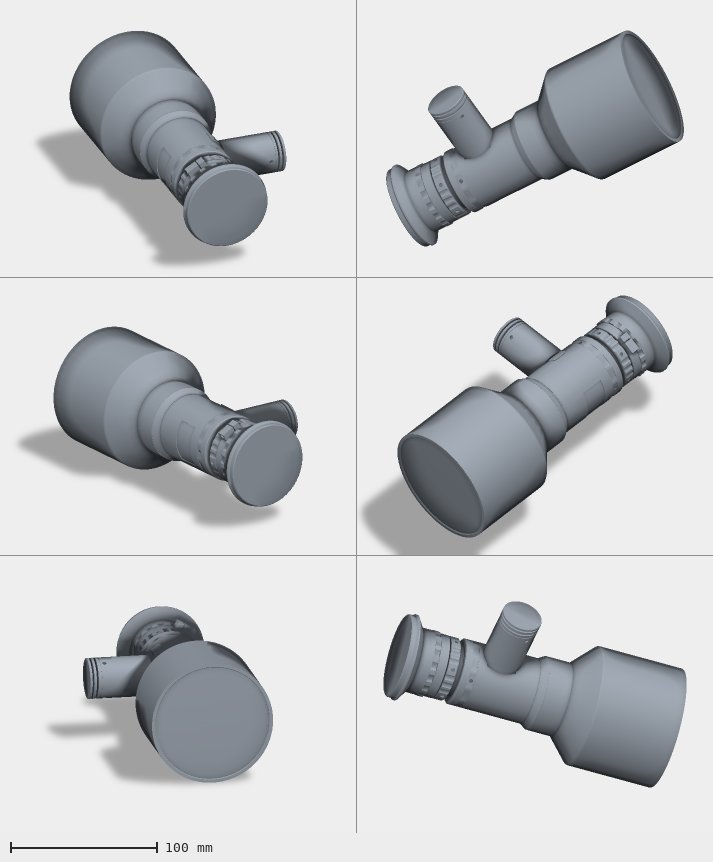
import cadquery as cq
import math


MARGIN = 2.0

HOOD_DIAMETER = 84.0
HOOD_RADIUS = HOOD_DIAMETER / 2
HOOD_END = 60.0
HOOD_CORNER_ROUND = 2.0
LENS_RADIUS = 39.4
LENS_BEVEL = 0.4
LENS_EDGE_DEPTH = 1.0
LENS_APEX_DEPTH = 0.2

SHOULDER_RADIUS = 26.0
SHOULDER_START = HOOD_END + HOOD_RADIUS - SHOULDER_RADIUS
SHOULDER_END = 94.0
TAPER_END = 98.8
BARREL_RADIUS = 23.0
JOINT_GROOVE_WIDTH = 0.5
JOINT_GROOVE_DEPTH = 0.2
PORT_END = 136.8
FLATS_START = 142.8
FLATS_END = 147.3
BARREL_END = 152.4
BARREL_CHAMFER = 0.5

NECK_RADIUS = 18.0
REAR_NECK_RADIUS = 18.8
GRIP_START = 156.0
GRIP_END = 162.8
GRIP_RADIUS = 22.1
GRIP_CHAMFER = 0.5
CLAMP_START = 164.0
CLAMP_END = 170.2
CLAMP_RADIUS = 22.1
TEETH_START = 170.5
TEETH_END = 174.5
TEETH_RADIUS = BARREL_RADIUS
TUBE_RADIUS = 22.7
TUBE_END = 183.0

FLANGE_RADIUS = 30.3
FLANGE_START = 188.3
FLANGE_END = 189.2
MOUNT_RADIUS = 29.1
MOUNT_START = FLANGE_END + FLANGE_RADIUS - MOUNT_RADIUS
MOUNT_CHAMFER = 0.5
TOTAL_LENGTH = 194.0

SCREW_RADIUS = 1.4
SCREW_DEPTH = 1.5

FLAT_COUNT = 12
FLAT_DISTANCE = 22.5
FLAT_SCREW_X = 145.0
FLAT_SCREW_COUNT = 3

GRIP_PLACES = 24
GRIP_PLACES_PER_SCREW = 4
GRIP_SCREW_ANGLE = -10
GRIP_SCREW_X = 159.1
GRIP_SCALLOP_ARC = 10.5
GRIP_SCALLOP_RADIUS = 3.1
TEETH_COUNT = 16
TEETH_SCALLOP_ANGLE = 7
TEETH_SCALLOP_ARC = 14
TEETH_SCALLOP_RADIUS = 4.3

LUG_ANGLE = 60
LUG_DISTANCE = 26.5
LUG_LOWER_SIDE = 8.0
LUG_UPPER_SIDE = 6.0
SLIT_OFFSET = 1.2
SLIT_WIDTH = 0.8
CLAMP_SCREW_DISTANCE = 24.5

LABEL_START = 118.2
LABEL_LENGTH = 16.7
LABEL_HEIGHT = 28.0
LABEL_DEPTH = 0.5

PORT_X = 126.3
SEAT_Y = 20.0
SEAT_START = 115.9
PAD_LENGTH = 11.8
PAD_INNER_Y = 11.6
PAD_OUTER_Y = 17.5
PAD_RADIUS = 23.9
PAD_ROUND = 2.3

SOURCE_RADIUS = 14.0
TOTAL_WIDTH = 105.0
SOURCE_END = TOTAL_WIDTH - HOOD_RADIUS
FIN_CORE_RADIUS = 8.7
FIN_THICKNESS = 1.5
FIN_GAP = 1.4
FIN_COUNT = 2
FIN_CHAMFER = 0.4
CAP_GROOVE_Y = 54.7
CAP_GROOVE_WIDTH = 0.8
CAP_GROOVE_DEPTH = 0.4
SOURCE_SCREW_Y = 52.0
SOURCE_SCREW_COUNT = 3


def x_cylinder(start, end, radius):
    return cq.Workplane("YZ", origin=(start, 0, 0)).circle(radius).extrude(end - start)


def tube_ring(start, end, outer_radius, inner_radius):
    return x_cylinder(start, end, outer_radius).cut(x_cylinder(start, end, inner_radius))


def turn(shape, angle):
    """Carry a shape made at the -Y side around the lens axis towards +Z."""
    return shape.rotate((0, 0, 0), (1, 0, 0), -angle)


def radial_hole(x, surface_radius):
    """Cutter for a set screw hole at the -Y side, reaching slightly beyond the surface."""
    outer_y = -surface_radius - SCREW_DEPTH
    return (cq.Workplane("XZ", origin=(x, outer_y, 0))
            .circle(SCREW_RADIUS).extrude(-2 * SCREW_DEPTH))


def scallop(start, end, ring_radius, arc, radius):
    """Cutter for a hollow along X whose edges lie the given arc apart on the ring."""
    half_angle = math.radians(arc / 2)
    half_width = ring_radius * math.sin(half_angle)
    centre = ring_radius * math.cos(half_angle) + math.sqrt(radius**2 - half_width**2)
    return x_cylinder(start, end, radius).translate((0, -centre, 0))


def make_turned_body():
    """Everything that is round about the lens axis, as one turned profile."""
    rear_step = (GRIP_END + CLAMP_START) / 2
    profile = (
        cq.Workplane("XY")
        .moveTo(LENS_APEX_DEPTH, 0)
        .threePointArc(
            (LENS_APEX_DEPTH + (LENS_EDGE_DEPTH - LENS_APEX_DEPTH) / 4, LENS_RADIUS / 2),
            (LENS_EDGE_DEPTH, LENS_RADIUS))
        .lineTo(LENS_BEVEL, LENS_RADIUS)
        .lineTo(0, LENS_RADIUS + LENS_BEVEL)
        .lineTo(0, HOOD_RADIUS)
        .lineTo(HOOD_END, HOOD_RADIUS)
        .lineTo(SHOULDER_START, SHOULDER_RADIUS)
        .lineTo(SHOULDER_END, SHOULDER_RADIUS)
        .lineTo(TAPER_END, BARREL_RADIUS)
        .lineTo(BARREL_END - BARREL_CHAMFER, BARREL_RADIUS)
        .lineTo(BARREL_END, BARREL_RADIUS - BARREL_CHAMFER)
        .lineTo(BARREL_END, NECK_RADIUS)
        .lineTo(GRIP_START, NECK_RADIUS)
        .lineTo(GRIP_START, GRIP_RADIUS - GRIP_CHAMFER)
        .lineTo(GRIP_START + GRIP_CHAMFER, GRIP_RADIUS)
        .lineTo(GRIP_END, GRIP_RADIUS)
        .lineTo(GRIP_END, NECK_RADIUS)
        .lineTo(rear_step, NECK_RADIUS)
        .lineTo(rear_step, REAR_NECK_RADIUS)
        .lineTo(CLAMP_START, REAR_NECK_RADIUS)
        .lineTo(CLAMP_START, CLAMP_RADIUS)
        .lineTo(CLAMP_END, CLAMP_RADIUS)
        .lineTo(CLAMP_END, REAR_NECK_RADIUS)
        .lineTo(TEETH_START, REAR_NECK_RADIUS)
        .lineTo(TEETH_START, TEETH_RADIUS)
        .lineTo(TEETH_END, TEETH_RADIUS)
        .lineTo(TEETH_END, TUBE_RADIUS)
        .lineTo(TUBE_END, TUBE_RADIUS)
        .lineTo(FLANGE_START, FLANGE_RADIUS)
        .lineTo(FLANGE_END, FLANGE_RADIUS)
        .lineTo(MOUNT_START, MOUNT_RADIUS)
        .lineTo(TOTAL_LENGTH - MOUNT_CHAMFER, MOUNT_RADIUS)
        .lineTo(TOTAL_LENGTH, MOUNT_RADIUS - MOUNT_CHAMFER)
        .lineTo(TOTAL_LENGTH, 0)
        .close()
    )
    body = profile.revolve(360, (0, 0, 0), (1, 0, 0))
    hood_edge = cq.selectors.BoxSelector(
        (HOOD_END - MARGIN, -HOOD_RADIUS - MARGIN, -HOOD_RADIUS - MARGIN),
        (HOOD_END + MARGIN, HOOD_RADIUS + MARGIN, HOOD_RADIUS + MARGIN), boundingbox=True)
    return body.edges(hood_edge).fillet(HOOD_CORNER_ROUND)


def cut_joint_grooves(body):
    """Fine grooves where the turned sections join."""
    joints = [
        (SHOULDER_START, SHOULDER_RADIUS),
        (SHOULDER_END - JOINT_GROOVE_WIDTH, SHOULDER_RADIUS),
        (TAPER_END, BARREL_RADIUS),
        (FLATS_START - JOINT_GROOVE_WIDTH, BARREL_RADIUS),
    ]
    for start, radius in joints:
        end = start + JOINT_GROOVE_WIDTH
        body = body.cut(tube_ring(start, end, radius + MARGIN, radius - JOINT_GROOVE_DEPTH))
    return body


def cut_flats_ring(body):
    """Twelve flats around the barrel, three of them with a set screw hole."""
    corner_diameter = 2 * FLAT_DISTANCE / math.cos(math.pi / FLAT_COUNT)
    prism = (cq.Workplane("YZ", origin=(FLATS_START, 0, 0))
             .polygon(FLAT_COUNT, corner_diameter).extrude(FLATS_END - FLATS_START))
    prism = turn(prism, 180 / FLAT_COUNT)
    body = body.cut(x_cylinder(FLATS_START, FLATS_END, BARREL_RADIUS + MARGIN).cut(prism))
    for i in range(FLAT_SCREW_COUNT):
        body = body.cut(turn(radial_hole(FLAT_SCREW_X, FLAT_DISTANCE), i * 360 / FLAT_SCREW_COUNT))
    return body


def cut_grip_ring(body):
    hollow = scallop(GRIP_START, GRIP_END, GRIP_RADIUS, GRIP_SCALLOP_ARC, GRIP_SCALLOP_RADIUS)
    hole = radial_hole(GRIP_SCREW_X, GRIP_RADIUS)
    for i in range(GRIP_PLACES):
        cutter = hole if i % GRIP_PLACES_PER_SCREW == 0 else hollow
        body = body.cut(turn(cutter, GRIP_SCREW_ANGLE + i * 360 / GRIP_PLACES))
    return body


def cut_toothed_ring(body):
    hollow = scallop(TEETH_START, TEETH_END, TEETH_RADIUS, TEETH_SCALLOP_ARC, TEETH_SCALLOP_RADIUS)
    for i in range(TEETH_COUNT):
        body = body.cut(turn(hollow, TEETH_SCALLOP_ANGLE + i * 360 / TEETH_COUNT))
    return body


def add_clamp_lug(body):
    """Slit lug on the clamp ring, with a screw hole across the slit."""
    length = CLAMP_END - CLAMP_START
    middle_x = (CLAMP_START + CLAMP_END) / 2
    lug_height = LUG_DISTANCE - REAR_NECK_RADIUS
    lug = cq.Workplane("XY").box(
        length, lug_height, LUG_LOWER_SIDE + LUG_UPPER_SIDE, centered=(True, False, False)
    ).translate((middle_x, -LUG_DISTANCE, -LUG_LOWER_SIDE))
    slit = cq.Workplane("XY").box(
        length, lug_height, SLIT_WIDTH, centered=(True, False, True)
    ).translate((middle_x, -LUG_DISTANCE, SLIT_OFFSET))
    hole = (cq.Workplane("XY", origin=(middle_x, -CLAMP_SCREW_DISTANCE, -LUG_LOWER_SIDE))
            .circle(SCREW_RADIUS).extrude(LUG_LOWER_SIDE + LUG_UPPER_SIDE))
    return body.union(turn(lug, LUG_ANGLE)).cut(turn(slit.union(hole), LUG_ANGLE))


def cut_label_recess(body):
    """Shallow recess that follows the round barrel, with its sides pointing at the axis."""
    half_angle = math.asin(LABEL_HEIGHT / 2 / BARREL_RADIUS)
    reach = 2 * BARREL_RADIUS
    wedge = (cq.Workplane("YZ", origin=(LABEL_START, 0, 0))
             .moveTo(0, 0)
             .lineTo(-reach * math.cos(half_angle), reach * math.sin(half_angle))
             .lineTo(-reach * math.cos(half_angle), -reach * math.sin(half_angle))
             .close().extrude(LABEL_LENGTH))
    skin = tube_ring(LABEL_START, LABEL_START + LABEL_LENGTH, BARREL_RADIUS, BARREL_RADIUS - LABEL_DEPTH)
    return body.cut(wedge.intersect(skin))


def cut_source_seat(body):
    seat = cq.Workplane("XY").box(
        PORT_END - SEAT_START, BARREL_RADIUS, 2 * BARREL_RADIUS, centered=(False, False, True)
    ).translate((SEAT_START, SEAT_Y, 0))
    return body.cut(seat)


def add_curved_pad(body):
    """Thin curved pad on the barrel, with two rounded corners."""
    pad = (cq.Workplane("XY")
           .box(PAD_LENGTH, PAD_OUTER_Y - PAD_INNER_Y, PAD_RADIUS, centered=(True, False, False))
           .translate((PORT_X, PAD_INNER_Y, 0))
           .edges("|Z and <Y").fillet(PAD_ROUND)
           .intersect(x_cylinder(PORT_X - PAD_LENGTH, PORT_X + PAD_LENGTH, PAD_RADIUS)))
    return body.union(pad)


def make_housing():
    body = make_turned_body()
    body = cut_joint_grooves(body)
    body = cut_flats_ring(body)
    body = cut_grip_ring(body)
    body = cut_toothed_ring(body)
    body = add_clamp_lug(body)
    body = cut_label_recess(body)
    body = cut_source_seat(body)
    return add_curved_pad(body)


def y_cylinder(start, end, radius):
    return cq.Workplane("XZ", origin=(PORT_X, start, 0)).circle(radius).extrude(start - end)


def make_light_source(housing):
    """Finned cylinder standing on the seat at the +Y side of the barrel."""
    fin_pitch = FIN_THICKNESS + FIN_GAP
    body_end = SOURCE_END - FIN_COUNT * fin_pitch
    source = y_cylinder(SEAT_Y, body_end, SOURCE_RADIUS)
    source = source.union(y_cylinder(SEAT_Y, SOURCE_END, FIN_CORE_RADIUS))
    for i in range(FIN_COUNT):
        fin_end = SOURCE_END - i * fin_pitch
        source = source.union(y_cylinder(fin_end - FIN_THICKNESS, fin_end, SOURCE_RADIUS))
    source = source.faces(">Y").edges().chamfer(FIN_CHAMFER)

    groove_end = CAP_GROOVE_Y + CAP_GROOVE_WIDTH
    groove = y_cylinder(CAP_GROOVE_Y, groove_end, SOURCE_RADIUS + MARGIN).cut(
        y_cylinder(CAP_GROOVE_Y, groove_end, SOURCE_RADIUS - CAP_GROOVE_DEPTH))
    source = source.cut(groove)

    hole = (cq.Workplane("YZ", origin=(PORT_X - SOURCE_RADIUS - SCREW_DEPTH, SOURCE_SCREW_Y, 0))
            .circle(SCREW_RADIUS).extrude(2 * SCREW_DEPTH))
    for i in range(SOURCE_SCREW_COUNT):
        angle = 180 / SOURCE_SCREW_COUNT + i * 360 / SOURCE_SCREW_COUNT
        source = source.cut(hole.rotate((PORT_X, 0, 0), (PORT_X, 1, 0), angle))
    return source.cut(housing)


housing = make_housing()
light_source = make_light_source(housing)

result = cq.Compound.makeCompound([housing.val(), light_source.val()])